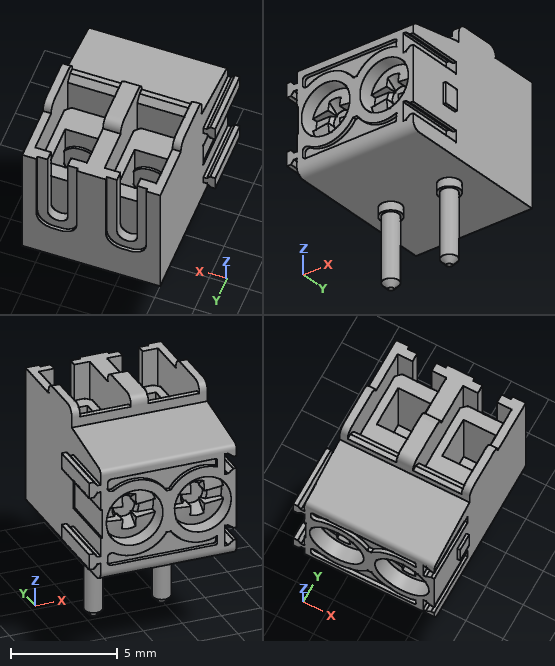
import cadquery as cq
import math


PITCH = 3.5
POLE_XS = (-PITCH / 2, PITCH / 2)
BODY_WIDTH = 6.95
BODY_DEPTH = 9.15
BODY_HEIGHT = 7.0
TAB_HEIGHT = 0.55
TAB_TOP = BODY_HEIGHT + TAB_HEIGHT
TAB_FRONT = 3.52
TAB_BACK = 6.35
TAB_RADIUS = 0.5
ROOF_BACK_HEIGHT = 6.51
ROOF_ANGLE = 10.0
ROOF_NOSE_RADIUS = 0.3
BOTTOM_NOSE_RADIUS = 0.5
AXIS_Z = 3.06

POCKET_WIDTH = 2.6
POCKET_FRONT = 4.12
POCKET_BACK = 8.52
LEDGE_CHAMFER = 0.33
REAR_SLOT_WIDTH = 1.01
REAR_RECESS_WIDTH = 2.02
REAR_RECESS_DEPTH = 0.16
REAR_RECESS_FLAT = 0.41

COUPLING_LENGTH = 3.33
COUPLING_SPACING = 3.8
DOVETAIL_DEPTH = 0.6
DOVETAIL_NECK_LENGTH = 0.17
RIB_WIDE_LENGTH = 0.25
RIB_NECK_HEIGHT = 0.39
RIB_WIDE_HEIGHT = 0.81
GROOVE_WIDE_LENGTH = 0.16
GROOVE_EXTRA_HEIGHT = 0.25
PAD_WIDTH = 0.89
PAD_FRONT = 2.31
PAD_HEIGHT = 1.17
PAD_THICKNESS = 0.15
RELIEF_HEIGHT = 1.48
RELIEF_DEPTH = 0.07

LABEL_DEPTH = 0.2
LABEL_EDGE = 2.29
LABEL_LEFT = 1.39
LABEL_RIGHT = 0.74
LABEL_ARC_RADIUS = 1.98
LABEL_TIP_HALF_WIDTH = 0.11
LABEL_LEFT_RADIUS = 0.22
LABEL_RIGHT_RADIUS = 0.11

HEAD_RADIUS = 1.42
HEAD_CLEARANCE = 0.02
HEAD_RIM_FRONT = 0.8
HEAD_BACK = 1.81
HEAD_CONE_ANGLE = 10.0
SHANK_RADIUS = 1.01
SHANK_TIP = 5.75
DRIVE_WIDTH = 0.69
DRIVE_SLOT_FLOOR = 1.11
DRIVE_CONE_FLOOR = 1.33
DRIVE_CONE_MOUTH_RADIUS = 1.01
DRIVE_CONE_FLOOR_RADIUS = 0.54

CAGE_FRONT = 4.33
CAGE_BACK = 8.48
CAGE_HEIGHT = 4.1
CAGE_CHAMFER = 0.27
WINDOW_WIDTH = 1.74
WINDOW_FRONT = 5.63
WINDOW_BACK = 7.76
CAGE_BOTTOM = AXIS_Z - CAGE_HEIGHT / 2

PIN_Y = 5.0
PIN_RADIUS = 0.46
PIN_DROP = 4.5
COLLAR_RADIUS = 0.6
COLLAR_HEIGHT = 0.48
PIN_TIP_RADIUS = 0.16
PIN_TIP_LENGTH = 0.33


def box(x_min, x_max, y_min, y_max, z_min, z_max):
    """Box given by its limits along the three axes."""
    size = (x_max - x_min, y_max - y_min, z_max - z_min)
    return cq.Workplane().box(*size, centered=False).translate((x_min, y_min, z_min))


def rod(x, radius, y_front, y_back):
    """Cylinder on the screw axis of the pole at x."""
    axis_plane = cq.Workplane("XZ", origin=(x, y_front, AXIS_Z))
    return axis_plane.circle(radius).extrude(y_front - y_back)


def make_shell():
    """Housing block: side outline with tabs, sloping roof and rounded noses."""
    roof_front = ROOF_BACK_HEIGHT - TAB_FRONT * math.tan(math.radians(ROOF_ANGLE))
    outline = [
        (0, 0),
        (BODY_DEPTH, 0),
        (BODY_DEPTH, BODY_HEIGHT),
        (TAB_BACK, BODY_HEIGHT),
        (TAB_BACK, TAB_TOP),
        (TAB_FRONT, TAB_TOP),
        (TAB_FRONT, ROOF_BACK_HEIGHT),
        (0, roof_front),
    ]
    shell = cq.Workplane("YZ").polyline(outline).close().extrude(BODY_WIDTH / 2, both=True)

    def edge_near(y, z):
        return cq.selectors.NearestToPointSelector((0, y, z))

    shell = shell.edges(edge_near(0, 0)).fillet(BOTTOM_NOSE_RADIUS)
    shell = shell.edges(edge_near(0, roof_front)).fillet(ROOF_NOSE_RADIUS)
    for tab_y in (TAB_FRONT, TAB_BACK):
        shell = shell.edges(edge_near(tab_y, TAB_TOP)).fillet(TAB_RADIUS)
    return shell


def pocket(x):
    """Open-topped wire pocket, cut down to the low front ledge with its bevelled rim."""
    outline = [
        (POCKET_BACK, CAGE_BOTTOM),
        (POCKET_BACK, TAB_TOP),
        (TAB_FRONT, TAB_TOP),
        (TAB_FRONT, BODY_HEIGHT),
        (POCKET_FRONT - LEDGE_CHAMFER, BODY_HEIGHT),
        (POCKET_FRONT, BODY_HEIGHT - LEDGE_CHAMFER),
        (POCKET_FRONT, CAGE_BOTTOM),
    ]
    plane = cq.Workplane("YZ", origin=(x, 0, 0))
    return plane.polyline(outline).close().extrude(POCKET_WIDTH / 2, both=True)


def slot_blank(x, width, y_front, y_back, bottom_z):
    """Square slot open at the top, centred on the pole at x."""
    return box(x - width / 2, x + width / 2, y_front, y_back, bottom_z, BODY_HEIGHT)


def rear_opening(x):
    """U-shaped slot through the rear wall, with a wider shallow recess on its outside."""
    slot = slot_blank(x, REAR_SLOT_WIDTH, POCKET_BACK, BODY_DEPTH, AXIS_Z)
    slot = slot.union(rod(x, REAR_SLOT_WIDTH / 2, POCKET_BACK, BODY_DEPTH))

    recess_floor = BODY_DEPTH - REAR_RECESS_DEPTH
    recess_bottom = AXIS_Z - REAR_RECESS_WIDTH / 2
    recess = slot_blank(x, REAR_RECESS_WIDTH, recess_floor, BODY_DEPTH, recess_bottom)
    recess = recess.edges("|Y and <Z").fillet((REAR_RECESS_WIDTH - REAR_RECESS_FLAT) / 2)
    return slot.union(recess)


def screw_bore(x):
    """Stepped hole for the screw from the front face into the pocket."""
    head_bore = rod(x, HEAD_RADIUS + HEAD_CLEARANCE, 0, HEAD_BACK)
    return head_bore.union(rod(x, SHANK_RADIUS, HEAD_BACK, POCKET_FRONT))


def pin_hole(x):
    """Hole for the pin shank from the underside up to the pocket floor."""
    return cq.Workplane(origin=(x, PIN_Y, 0)).circle(PIN_RADIUS).extrude(CAGE_BOTTOM)


def dovetail(root_x, z, wide_length, root_height, wide_height):
    """Dovetail bar along Y: narrow where it starts at root_x, flaring to full height toward -X."""
    end_x = root_x - DOVETAIL_DEPTH
    lower_edge = [
        (root_x, -root_height / 2),
        (root_x - DOVETAIL_NECK_LENGTH, -root_height / 2),
        (end_x + wide_length, -wide_height / 2),
        (end_x, -wide_height / 2),
    ]
    upper_edge = [(x, -offset) for x, offset in reversed(lower_edge)]
    plane = cq.Workplane("XZ", origin=(0, 0, z))
    return plane.polyline(lower_edge + upper_edge).close().extrude(-COUPLING_LENGTH)


def dovetail_rib(z):
    return dovetail(-BODY_WIDTH / 2, z, RIB_WIDE_LENGTH, RIB_NECK_HEIGHT, RIB_WIDE_HEIGHT)


def dovetail_groove(z):
    neck_height = RIB_NECK_HEIGHT + GROOVE_EXTRA_HEIGHT
    wide_height = RIB_WIDE_HEIGHT + GROOVE_EXTRA_HEIGHT
    return dovetail(BODY_WIDTH / 2, z, GROOVE_WIDE_LENGTH, neck_height, wide_height)


def label_recess():
    """Upper front recess, bounded below by arcs about both screw axes."""
    left_x, right_x = POLE_XS

    def arc_height(offset):
        return math.sqrt(LABEL_ARC_RADIUS**2 - offset**2)

    tip_offset = PITCH / 2 - LABEL_TIP_HALF_WIDTH
    tip_z = arc_height(tip_offset)
    left_end = left_x - LABEL_LEFT
    right_end = right_x + LABEL_RIGHT
    recess = (
        cq.Workplane("XZ", origin=(0, 0, AXIS_Z))
        .moveTo(left_end, LABEL_EDGE)
        .lineTo(left_end, arc_height(LABEL_LEFT))
        .threePointArc((left_x, LABEL_ARC_RADIUS), (-LABEL_TIP_HALF_WIDTH, tip_z))
        .lineTo(LABEL_TIP_HALF_WIDTH, tip_z)
        .threePointArc((right_x, LABEL_ARC_RADIUS), (right_end, arc_height(LABEL_RIGHT)))
        .lineTo(right_end, LABEL_EDGE)
        .close()
        .extrude(-LABEL_DEPTH)
    )
    recess = recess.edges("|Y and <X").fillet(LABEL_LEFT_RADIUS)
    upper_right = cq.selectors.NearestToPointSelector((right_end, LABEL_DEPTH / 2, AXIS_Z + LABEL_EDGE))
    return recess.edges(upper_right).fillet(LABEL_RIGHT_RADIUS)


def make_housing():
    housing = make_shell()
    for x in POLE_XS:
        housing = housing.cut(pocket(x)).cut(rear_opening(x)).cut(screw_bore(x)).cut(pin_hole(x))

    for z in (AXIS_Z - COUPLING_SPACING / 2, AXIS_Z + COUPLING_SPACING / 2):
        housing = housing.union(dovetail_rib(z)).cut(dovetail_groove(z))

    upper_label = label_recess()
    lower_label = upper_label.mirror("XY", (0, 0, AXIS_Z))
    housing = housing.cut(upper_label).cut(lower_label)

    side = BODY_WIDTH / 2
    relief_z = (AXIS_Z - RELIEF_HEIGHT / 2, AXIS_Z + RELIEF_HEIGHT / 2)
    housing = housing.cut(box(-side, -side + RELIEF_DEPTH, 0, COUPLING_LENGTH, *relief_z))
    pad_z = (AXIS_Z - PAD_HEIGHT / 2, AXIS_Z + PAD_HEIGHT / 2)
    pad = box(side, side + PAD_THICKNESS, PAD_FRONT, PAD_FRONT + PAD_WIDTH, *pad_z)
    return housing.union(pad)


def make_screw(x):
    """Clamp screw: conical head with a full-width slot and a tapered cross recess."""
    apex_y = HEAD_RIM_FRONT - HEAD_RADIUS * math.tan(math.radians(HEAD_CONE_ANGLE))
    profile = [
        (0, apex_y),
        (HEAD_RADIUS, HEAD_RIM_FRONT),
        (HEAD_RADIUS, HEAD_BACK),
        (SHANK_RADIUS, HEAD_BACK),
        (SHANK_RADIUS, SHANK_TIP),
        (0, SHANK_TIP),
    ]
    screw = cq.Workplane().polyline(profile).close().revolve(360, (0, 0, 0), (0, 1, 0))

    half = DRIVE_WIDTH / 2
    slot = box(-HEAD_RADIUS, HEAD_RADIUS, apex_y, DRIVE_SLOT_FLOOR, -half, half)
    cone_profile = [
        (0, apex_y),
        (DRIVE_CONE_MOUTH_RADIUS, apex_y),
        (DRIVE_CONE_FLOOR_RADIUS, DRIVE_CONE_FLOOR),
        (0, DRIVE_CONE_FLOOR),
    ]
    cone = cq.Workplane().polyline(cone_profile).close().revolve(360, (0, 0, 0), (0, 1, 0))
    reach = DRIVE_CONE_MOUTH_RADIUS
    cross = box(-reach, reach, apex_y, DRIVE_CONE_FLOOR, -half, half)
    cross = cross.union(box(-half, half, apex_y, DRIVE_CONE_FLOOR, -reach, reach))
    return screw.cut(slot).cut(cone.intersect(cross)).translate((x, 0, AXIS_Z))


def make_cage(x):
    """Clamp cage with bevelled corners, a wire window and the hole for the screw."""
    half = POCKET_WIDTH / 2
    cage_top = CAGE_BOTTOM + CAGE_HEIGHT
    cage = box(x - half, x + half, CAGE_FRONT, CAGE_BACK, CAGE_BOTTOM, cage_top)
    cage = cage.edges("|Z").chamfer(CAGE_CHAMFER)
    window_half = WINDOW_WIDTH / 2
    window = box(x - window_half, x + window_half, WINDOW_FRONT, WINDOW_BACK, CAGE_BOTTOM, cage_top)
    return cage.cut(window).cut(rod(x, SHANK_RADIUS, CAGE_FRONT, SHANK_TIP))


def make_pin(x):
    """Solder pin with a collar under the housing and a tapered tip."""
    profile = [
        (0, CAGE_BOTTOM),
        (PIN_RADIUS, CAGE_BOTTOM),
        (PIN_RADIUS, 0),
        (COLLAR_RADIUS, 0),
        (COLLAR_RADIUS, -COLLAR_HEIGHT),
        (PIN_RADIUS, -COLLAR_HEIGHT),
        (PIN_RADIUS, PIN_TIP_LENGTH - PIN_DROP),
        (PIN_TIP_RADIUS, -PIN_DROP),
        (0, -PIN_DROP),
    ]
    pin = cq.Workplane("XZ").polyline(profile).close().revolve(360, (0, 0, 0), (0, 1, 0))
    return pin.translate((x, PIN_Y, 0))


housing = make_housing()
screws = [make_screw(x) for x in POLE_XS]
cages = [make_cage(x) for x in POLE_XS]
pins = [make_pin(x) for x in POLE_XS]

result = cq.Compound.makeCompound([
    housing.val(),
    *[screw.val() for screw in screws],
    *[cage.val() for cage in cages],
    *[pin.val() for pin in pins],
])